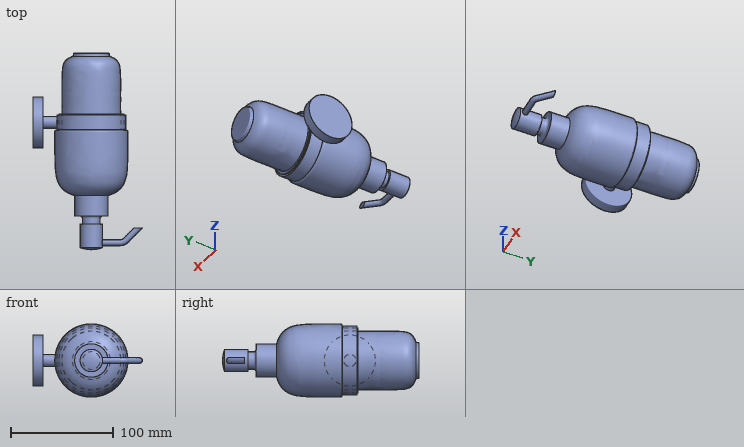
import cadquery as cq
import math


ring_width = 14.0
ring_radius = 34.0

sleeve_radius = 31.8
sleeve_top_lip = 1.06
sleeve_bottom_lip = 0.48
sleeve_top_y = ring_width / 2 + sleeve_top_lip
sleeve_bottom_y = -ring_width / 2 - sleeve_bottom_lip

body_radius = 29.0
belly_diameter = 72.0
belly_radius = belly_diameter / 2
shoulder_fillet = 2.0
base_y = 64.8
base_curve_pulls_y = (35.7, 56.5)
base_curve_handle = (30.7, 59.8)
rim_radius = 17.7
rim_height = 3.0
rim_fillet = 1.0
rim_root_fillet = 0.8
base_radius = rim_radius + rim_root_fillet
neck_y = -72.0
belly_curve_pulls_y = (-46.3, -52.0)
belly_curve_handle = (35.1, -67.0)

collar_radius = 16.4
collar_length = 20.0
stem_radius = 8.7
stem_length = 7.7
stem_fillet = 2.3
collar_end_y = neck_y - collar_length
stem_end_y = collar_end_y - stem_length

head_radius = 11.0
head_length = 23.1
dome_height = 2.1
head_end_y = stem_end_y - head_length

spout_diameter = 6.0
spout_radius = spout_diameter / 2
spout_y = -118.0
spout_straight_end_x = 28.4
spout_bend_radius = 7.7
spout_bend_angle = 45.0
spout_tip_y = -103.5

plate_radius = 25.0
plate_thickness = 10.0
plate_back_x = -57.3
plate_fillet = 0.5
plate_front_x = plate_back_x + plate_thickness
arm_radius = 6.0


def axial_sketch():
    """Sketch on a plane holding the Y axis: local x is the radius, local y is world Y."""
    return cq.Workplane(cq.Plane(origin=(0, 0, 0), xDir=(0, 0, 1), normal=(-1, 0, 0)))


def turn(profile):
    """Close a half profile and revolve it about the Y axis."""
    return profile.close().revolve(360, (0, 0), (0, 1))


def cylinder_y(radius, start_y, end_y):
    """Cylinder about the Y axis between two positions."""
    return turn(
        axial_sketch()
        .moveTo(0, start_y)
        .lineTo(radius, start_y)
        .lineTo(radius, end_y)
        .lineTo(0, end_y)
    )


def cylinder_x(radius, start_x, end_x):
    """Cylinder about the X axis between two positions."""
    return cq.Workplane("YZ", origin=(start_x, 0, 0)).circle(radius).extrude(end_x - start_x)


def make_bottle():
    """Solid bottle with shoulder, curved ends and foot rim."""
    fillet_start_radius = belly_radius - shoulder_fillet
    fillet_end_y = sleeve_bottom_y - shoulder_fillet
    fillet_mid = shoulder_fillet * math.sqrt(0.5)
    root_mid = rim_root_fillet * (1 - math.sqrt(0.5))
    outline = (
        axial_sketch()
        .moveTo(0, neck_y)
        .lineTo(collar_radius, neck_y)
        .bezier(
            [
                (collar_radius, neck_y),
                belly_curve_handle,
                *[(belly_radius, y) for y in reversed(belly_curve_pulls_y)],
                (belly_radius, fillet_end_y),
            ]
        )
        .threePointArc(
            (fillet_start_radius + fillet_mid, fillet_end_y + fillet_mid),
            (fillet_start_radius, sleeve_bottom_y),
        )
        .lineTo(body_radius, sleeve_bottom_y)
        .lineTo(body_radius, sleeve_top_y)
        .bezier(
            [
                (body_radius, sleeve_top_y),
                *[(body_radius, y) for y in base_curve_pulls_y],
                base_curve_handle,
                (base_radius, base_y),
            ]
        )
        .threePointArc(
            (rim_radius + root_mid, base_y + root_mid),
            (rim_radius, base_y + rim_root_fillet),
        )
        .lineTo(rim_radius, base_y + rim_height)
        .lineTo(0, base_y + rim_height)
    )
    return turn(outline).faces(">Y").edges().fillet(rim_fillet)


def make_sleeve():
    """Liner between the bottle and the ring."""
    bore = cylinder_y(body_radius, sleeve_bottom_y, sleeve_top_y)
    return cylinder_y(sleeve_radius, sleeve_bottom_y, sleeve_top_y).cut(bore)


def make_ring():
    """Clamp ring around the sleeve."""
    bore = cylinder_y(sleeve_radius, -ring_width / 2, ring_width / 2)
    return cylinder_y(ring_radius, -ring_width / 2, ring_width / 2).cut(bore)


def make_collar():
    """Collar on the bottle neck with the stem and the fillet at its root."""
    fillet_mid = stem_fillet * (1 - math.sqrt(0.5))
    return turn(
        axial_sketch()
        .moveTo(0, neck_y)
        .lineTo(collar_radius, neck_y)
        .lineTo(collar_radius, collar_end_y)
        .lineTo(stem_radius + stem_fillet, collar_end_y)
        .threePointArc(
            (stem_radius + fillet_mid, collar_end_y - fillet_mid),
            (stem_radius, collar_end_y - stem_fillet),
        )
        .lineTo(stem_radius, stem_end_y)
        .lineTo(0, stem_end_y)
    )


def make_head():
    """Pump head: cylinder with a shallow spherical end."""
    dome_radius = (head_radius**2 + dome_height**2) / (2 * dome_height)
    dome_tip_y = head_end_y - dome_height
    mid_radius = head_radius / 2
    mid_y = dome_tip_y + dome_radius - math.sqrt(dome_radius**2 - mid_radius**2)
    return turn(
        axial_sketch()
        .moveTo(0, stem_end_y)
        .lineTo(head_radius, stem_end_y)
        .lineTo(head_radius, head_end_y)
        .threePointArc((mid_radius, mid_y), (0, dome_tip_y))
    )


def make_spout():
    """Bent tube that starts on the head's side."""
    angle = math.radians(spout_bend_angle)
    bend_center_y = spout_y + spout_bend_radius

    def on_bend(turned):
        return (
            spout_straight_end_x + spout_bend_radius * math.sin(turned),
            bend_center_y - spout_bend_radius * math.cos(turned),
        )

    bend_end_x, bend_end_y = on_bend(angle)
    run_end_y = spout_tip_y + spout_diameter
    run_end_x = bend_end_x + (run_end_y - bend_end_y) / math.tan(angle)
    path = (
        cq.Workplane("XY")
        .moveTo(0, spout_y)
        .lineTo(spout_straight_end_x, spout_y)
        .threePointArc(on_bend(angle / 2), (bend_end_x, bend_end_y))
        .lineTo(run_end_x, run_end_y)
    )
    tube = cq.Workplane("YZ", origin=(0, spout_y, 0)).circle(spout_radius).sweep(path)
    past_tip_size = 4 * run_end_x
    past_tip = (
        cq.Workplane("XY")
        .box(past_tip_size, past_tip_size, past_tip_size)
        .translate((0, spout_tip_y + past_tip_size / 2, 0))
    )
    return tube.cut(past_tip).cut(make_head())


def make_plate():
    """Round wall plate with a rounded front edge."""
    return cylinder_x(plate_radius, plate_back_x, plate_front_x).faces(">X").edges().fillet(plate_fillet)


def make_arm():
    """Bar from the plate to the ring, its end shaped to the ring's surface."""
    ring_envelope = cylinder_y(ring_radius, -ring_width / 2, ring_width / 2)
    return cylinder_x(arm_radius, plate_front_x, -sleeve_radius).cut(ring_envelope)


bottle = make_bottle()
sleeve = make_sleeve()
ring = make_ring()
collar = make_collar()
head = make_head()
spout = make_spout()
plate = make_plate()
arm = make_arm()

result = cq.Compound.makeCompound(
    [
        bottle.solids().val(),
        sleeve.solids().val(),
        ring.solids().val(),
        collar.solids().val(),
        head.solids().val(),
        spout.solids().val(),
        plate.solids().val(),
        arm.solids().val(),
    ]
)